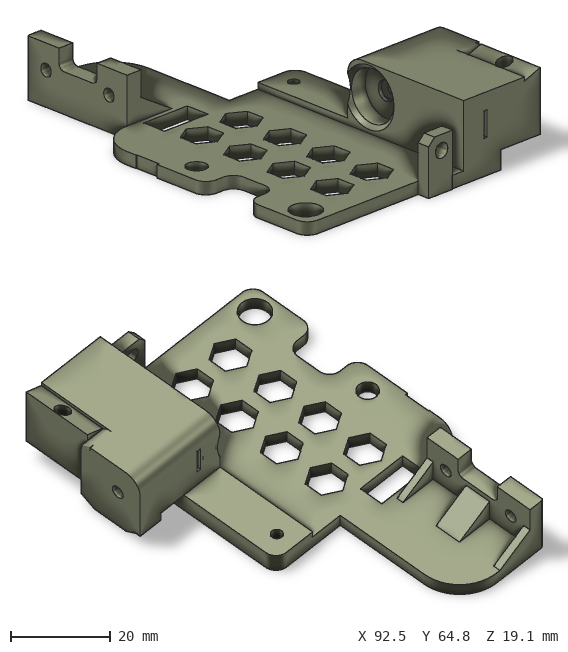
import cadquery as cq
import math

total_length = 92.5
total_depth = 64.8
total_height = 19.1
plate_top = 3.0
ledge_top = 4.4
block_top = 18.3

plate_right = 89.6
plate_left = 28.5
arm_front = 9.5
arm_back = 33.4
arm_corner_radius = 10.4
ledge_left = 33.6
ledge_front = 41.45
ledge_back = 52.0
corner_radius = 3.0
front_left_edge = 0.4
front_arc_radius = arm_front - front_left_edge
front_recess_edge = 0.6
front_recess_left = 40.3
front_recess_right = 46.6
notch_left = 60.6
notch_right = 72.5
notch_depth = 7.9

hexagon_size = 9.0
hexagon_columns = 4
hexagon_pitch_x = 12.4
hexagon_pitch_y = 11.2
first_hexagon = (42.4, 16.9)
hexagon_rows = 2
window_left = 29.7
window_right = 35.6
window_front = 13.05
window_back = 25.35
ledge_hole = (38.4, 46.8)
ledge_hole_diameter = 2.6
small_plate_hole = (52.9, 5.0)
small_plate_hole_diameter = 4.7
large_plate_hole = (84.1, 5.0)
large_plate_hole_diameter = 7.1

wall_thickness = 3.9
wall_top = 14.1
wall_edge_chamfer_x = 0.3
wall_edge_chamfer_y = 0.6
wall_back = arm_front + wall_thickness
wall_hole_diameter = 3.0
wall_hole_height = 8.1
wall_hole_places = (5.4, 23.3)
wall_notch_left = 9.1
wall_notch_right = 19.9
wall_notch_bottom = 9.3
wall_notch_radius = 1.5
gusset_depth = 8.8
gusset_rise = 5.1
gusset_spans = ((0, 1.8), (11.2, 17.7), (26.8, plate_left))

lug_front = 31.4
lug_back = 38.1
lug_top = 13.0
lug_chamfer = 1.7
lug_hole = (35.1, 9.4)
lug_hole_diameter = 3.4

block_left = 59.2
block_right = 92.3
block_back = 58.7
block_edge_radius = 4.0

foot_right = 76.1
foot_bottom = 0.3
foot_shoulder_radius = 3.0
foot_slope_width = 4.0
foot_slope_height = 2.0
foot_back_radius = 0.9

shelf_left = 75.4
shelf_back = 63.1
shelf_angle = math.radians(20)
shelf_hole = (84.0, 61.2)
shelf_hole_diameter = 3.5

bore_x = 65.4
bore_z = 10.8
bore_diameter = 12.0
bore_mouth_diameter = 14.1
bore_mouth_depth = 0.9
bore_depth = 4.8
recess_diameter = 4.6
recess_depth = 0.9
shaft_hole_diameter = 3.0
slit_width = 0.9
slit_bottom = 8.3
slit_top = block_top - block_edge_radius


def box(x_min, x_max, y_min, y_max, z_min, z_max):
    size = (x_max - x_min, y_max - y_min, z_max - z_min)
    return cq.Workplane("XY").box(*size, centered=False).translate((x_min, y_min, z_min))


def y_cylinder(x, z, diameter, y_start, length):
    plane = cq.Workplane("XZ", origin=(x, y_start, z))
    return plane.circle(diameter / 2).extrude(-length)


def z_hole(center, diameter):
    return cq.Workplane("XY").center(*center).circle(diameter / 2).extrude(total_height)


def yz_prism(points, x_min, x_max):
    return cq.Workplane("YZ", origin=(x_min, 0, 0)).polyline(points).close().extrude(x_max - x_min)


def make_plate():
    r = corner_radius
    arc_end = plate_left + front_arc_radius
    arc_mid = front_arc_radius * (1 - math.sqrt(0.5))
    outline = (
        cq.Workplane("XY")
        .moveTo(wall_edge_chamfer_x, arm_front)
        .lineTo(0, arm_front + wall_edge_chamfer_y)
        .lineTo(0, arm_back - arm_corner_radius)
        .radiusArc((arm_corner_radius, arm_back), arm_corner_radius)
        .lineTo(ledge_left, arm_back)
        .lineTo(ledge_left, ledge_back - r)
        .radiusArc((ledge_left + r, ledge_back), r)
        .lineTo(block_right, ledge_back)
        .lineTo(block_right, lug_back)
        .lineTo(plate_right, lug_back)
        .lineTo(plate_right, r)
        .radiusArc((plate_right - r, 0), r)
        .lineTo(notch_right + r, 0)
        .radiusArc((notch_right, r), r)
        .lineTo(notch_right, notch_depth - r)
        .radiusArc((notch_right - r, notch_depth), -r)
        .lineTo(notch_left + r, notch_depth)
        .radiusArc((notch_left, notch_depth - r), -r)
        .lineTo(notch_left, r)
        .radiusArc((notch_left - r, 0), r)
        .lineTo(front_recess_right, 0)
        .lineTo(front_recess_right, front_recess_edge)
        .lineTo(front_recess_left, front_recess_edge)
        .lineTo(front_recess_left, front_left_edge)
        .lineTo(arc_end, front_left_edge)
        .threePointArc(
            (plate_left + arc_mid, front_left_edge + arc_mid),
            (plate_left, arm_front),
        )
        .close()
    )
    ledge = box(ledge_left, block_right, ledge_front, ledge_back, 0, ledge_top)
    ledge = ledge.edges("|Z and <X and >Y").fillet(r)
    return outline.extrude(plate_top).union(ledge)


def make_plate_openings():
    first_x, first_y = first_hexagon
    centers = [
        (first_x + column * hexagon_pitch_x, first_y + row * hexagon_pitch_y)
        for column in range(hexagon_columns)
        for row in range(hexagon_rows)
    ]
    hexagons = cq.Workplane("XY").pushPoints(centers).polygon(6, hexagon_size).extrude(plate_top)
    window = box(window_left, window_right, window_front, window_back, 0, plate_top)
    return (
        hexagons.union(window)
        .union(z_hole(ledge_hole, ledge_hole_diameter))
        .union(z_hole(small_plate_hole, small_plate_hole_diameter))
        .union(z_hole(large_plate_hole, large_plate_hole_diameter))
    )


def make_wall():
    corners = [
        (wall_edge_chamfer_x, arm_front),
        (plate_left, arm_front),
        (plate_left, wall_back),
        (0, wall_back),
        (0, arm_front + wall_edge_chamfer_y),
    ]
    wall = cq.Workplane("XY").polyline(corners).close().extrude(wall_top)
    notch = box(wall_notch_left, wall_notch_right, arm_front, wall_back, wall_notch_bottom, wall_top)
    wall = wall.cut(notch.edges("|Y and <Z").fillet(wall_notch_radius))
    for x in wall_hole_places:
        wall = wall.cut(y_cylinder(x, wall_hole_height, wall_hole_diameter, arm_front, wall_thickness))
    gusset = [
        (wall_back, plate_top),
        (wall_back + gusset_depth, plate_top),
        (wall_back, plate_top + gusset_rise),
    ]
    for x_min, x_max in gusset_spans:
        wall = wall.union(yz_prism(gusset, x_min, x_max))
    return wall


def make_lug():
    lug = box(plate_right, total_length, lug_front, lug_back, 0, lug_top)
    lug = lug.edges("|X and <Y and >Z").chamfer(lug_chamfer)
    hole = (
        cq.Workplane("YZ", origin=(plate_right, 0, 0))
        .center(*lug_hole)
        .circle(lug_hole_diameter / 2)
        .extrude(total_length - plate_right)
    )
    return lug.cut(hole)


def make_foot():
    corners = [
        (block_left, block_top),
        (foot_right, block_top),
        (foot_right, foot_bottom + foot_slope_height),
        (foot_right - foot_slope_width, foot_bottom),
        (block_left + foot_slope_width, foot_bottom),
        (block_left, foot_bottom + foot_slope_height),
    ]
    length = total_depth - block_back
    foot = cq.Workplane("XZ", origin=(0, block_back, 0)).polyline(corners).close().extrude(-length)
    rounded = foot.edges("|Y and >Z and <X").fillet(block_edge_radius)
    rounded = rounded.edges("|Y and >Z and >X").fillet(foot_shoulder_radius)
    softened = rounded.faces(">Y").edges().fillet(foot_back_radius)
    sharp_zone = box(
        block_left, foot_right - foot_shoulder_radius,
        block_back, total_depth,
        foot_bottom + foot_slope_height, block_top,
    )
    return softened.union(rounded.intersect(sharp_zone))


def make_shelf():
    drop = (shelf_back - block_back) * math.tan(shelf_angle)
    profile = [
        (block_back, ledge_top),
        (shelf_back, ledge_top),
        (shelf_back, total_height),
        (block_back, total_height - drop),
    ]
    shelf = yz_prism(profile, shelf_left, block_right)
    return shelf.cut(z_hole(shelf_hole, shelf_hole_diameter))


def make_block():
    block = box(block_left, block_right, ledge_front, block_back, ledge_top, block_top)
    block = block.edges("|Y and <X and >Z").fillet(block_edge_radius)
    return block.union(make_foot()).union(make_shelf())


def make_bearing_seat():
    mouth = (
        cq.Workplane("XZ", origin=(bore_x, ledge_front, bore_z))
        .circle(bore_mouth_diameter / 2)
        .workplane(offset=-bore_mouth_depth)
        .circle(bore_diameter / 2)
        .loft()
    )
    bore_end = ledge_front + bore_depth
    recess_end = bore_end + recess_depth
    slit = box(block_left, block_right, recess_end, recess_end + slit_width, slit_bottom, slit_top)
    return (
        mouth.union(y_cylinder(bore_x, bore_z, bore_diameter, ledge_front, bore_depth))
        .union(y_cylinder(bore_x, bore_z, recess_diameter, bore_end, recess_depth))
        .union(y_cylinder(bore_x, bore_z, shaft_hole_diameter, ledge_front, total_depth - ledge_front))
        .union(slit)
    )


result = (
    make_plate()
    .union(make_wall())
    .union(make_lug())
    .union(make_block())
    .cut(make_plate_openings())
    .cut(make_bearing_seat())
)